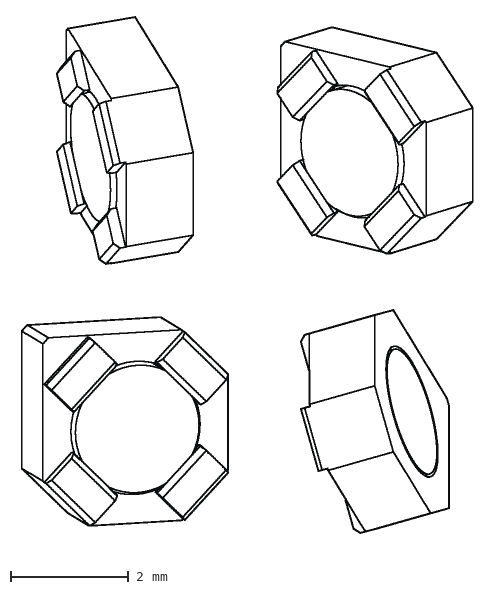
import cadquery as cq
import math

side = 3.3
body_depth = 1.2
corner_cut = 0.825
marker_cut = 0.1

core_diameter = 2.205
bore_diameter = 2.305
core_protrusion = 0.1

pad_length = 1.1
pad_width = 0.7
pad_height = 0.198
pad_bevel = pad_height - core_protrusion

half = side / 2
pad_outer = (side - corner_cut) / math.sqrt(2)
pad_inner = pad_outer - pad_width


def make_body():
    outline = [
        (-half, half - marker_cut),
        (-half + marker_cut, half),
        (half - corner_cut, half),
        (half, half - corner_cut),
        (half, -half + corner_cut),
        (half - corner_cut, -half),
        (-half + corner_cut, -half),
        (-half, -half + corner_cut),
    ]
    block = cq.Workplane("XZ").polyline(outline).close().extrude(-body_depth)
    bore = cq.Workplane("XZ").circle(bore_diameter / 2).extrude(-body_depth)
    return block.cut(bore)


def make_core():
    back = cq.Workplane("XZ", origin=(0, body_depth, 0))
    return back.circle(core_diameter / 2).extrude(body_depth + core_protrusion)


def make_pad(angle):
    """Pad whose radial direction is turned by angle about the Y axis from +X."""
    profile = [
        (pad_inner, 0),
        (pad_outer, 0),
        (pad_outer, -core_protrusion),
        (pad_outer - pad_bevel, -pad_height),
        (pad_inner + pad_bevel, -pad_height),
        (pad_inner, -core_protrusion),
    ]
    pad = cq.Workplane("XY").polyline(profile).close().extrude(pad_length / 2, both=True)
    return pad.rotate((0, 0, 0), (0, 1, 0), angle)


result = make_body().union(make_core())
for pad_angle in (45, 135, 225, 315):
    result = result.union(make_pad(pad_angle))